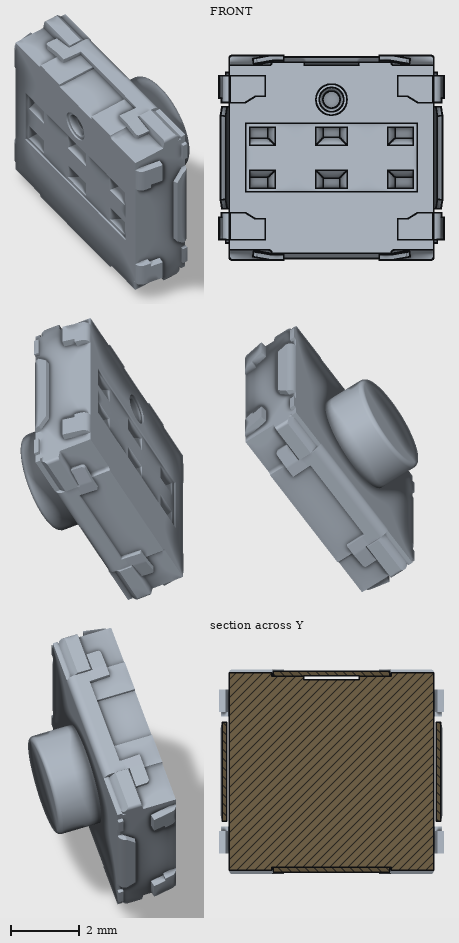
import cadquery as cq
import math

HOUSING_SIZE = 6.0
HOUSING_HALF_X = HOUSING_SIZE / 2
HOUSING_HALF_Z = HOUSING_SIZE / 2
STEP = 0.1
MIDDLE_HALF_Z = HOUSING_HALF_Z - 2 * STEP
CORNER_HALF_Z = MIDDLE_HALF_Z - STEP
COVER_BACK_Y = 1.8
BUTTON_TOP_Y = 3.1
SMALL_RADIUS = 0.1
LEAN = 10.0

COVER_SHEET = 0.15
COVER_FRONT_Y = COVER_BACK_Y - COVER_SHEET
FLANGE_HALF_X = 1.715
FLANGE_FRONT_Y = 1.2
FLANGE_OUTER_Z = MIDDLE_HALF_Z + COVER_SHEET
FLANGE_BEND = SMALL_RADIUS + COVER_SHEET
TAB_REACH_X = 3.1
TAB_Z = (1.9, 2.5)
WING_HALF_Z = 1.5
WING_BEND_INNER = 0.08
WING_BEND_X = 2.975
WING_LENGTH = 0.285
WING_CHAMFER = 0.285
LEG_INNER_X = 1.39
LEG_TIP_Y = 0.57
LEG_BEND_Y = 1.1
LEG_TILT = 5.0
HOOK_BEND_INNER = 0.15
HOOK_TIP_X = 2.305
HOOK_BACK_Y = 0.99

MIDDLE_HALF_X = 1.74
BLOCK_FOOT_Y = 1.0
BLOCK_RIM_Y = 1.055
BLOCK_CHAMFER = 0.2
BLOCK_BACK_RADIUS = 0.12
CHANNEL_HALF_X = 0.8
RECESS_HALF_X = 2.51
RECESS_HALF_Z = 1.0
RECESS_DEPTH = 0.05
WINDOW_DEPTH = 0.34
WINDOW_Z = (0.36, 0.89)
SIDE_WINDOW_FLOOR_Z = 0.575
CENTRE_WINDOW_FLOOR_Z = 0.6
WINDOW_SLOPE_X = 0.22
SIDE_WINDOW_X = (1.645, 2.395)
CENTRE_WINDOW_HALF_X = 0.455
DIMPLE_Z = 1.7
DIMPLE_RING_RADIUS = 0.455
DIMPLE_RIM_RADIUS = 0.355
DIMPLE_FLOOR_RADIUS = 0.25
DIMPLE_DEPTH = 0.2

TERMINAL_SHEET = 0.2
TERMINAL_BEND_INNER = 0.03
TERMINAL_BEND_X = 2.97
ARM_LENGTH = 0.59
ARM_STEP_Y = 0.4
ARM_TIP_INNER_Z = 1.74
PAD_END_X = 1.95
PAD_OUTER_Z = 2.4
PAD_INNER_Z = 1.61
PAD_NECK_Z = 1.795
PAD_SLOPE_X = (2.23, 2.53)

BUTTON_RADIUS = 1.5
BUTTON_FILLET = 0.125


def block(x_range, y_range, z_range):
    """Axis-aligned block between the given limits."""
    low, high = zip(x_range, y_range, z_range)
    size = [b - a for a, b in zip(low, high)]
    return cq.Workplane("XY").box(*size, centered=False).translate(low)


def both_sides(body):
    """The body and its mirror image across X = 0."""
    return [body, body.mirror("YZ")]


def four_corners(body):
    """The body mirrored into all four X/Z quadrants."""
    return [copy for half in (body, body.mirror("XY")) for copy in both_sides(half)]


def disc(radius, y_start, length, z=0.0):
    """Cylinder along +Y."""
    return cq.Workplane("XZ", origin=(0, y_start, z)).circle(radius).extrude(-length)


def bent_strip(bend_x, inner_radius, sheet, arm_length, half_width):
    """Bend plus leaning arm along +Y, from a flat strip whose outer face is Y = 0."""
    turn = math.radians(90 - LEAN)
    outer_radius = inner_radius + sheet

    def on_bend(radius, angle):
        return (bend_x + radius * math.sin(angle), outer_radius - radius * math.cos(angle))

    def along_arm(point):
        return (point[0] + arm_length * math.cos(turn), point[1] + arm_length * math.sin(turn))

    outer_end = on_bend(outer_radius, turn)
    inner_end = on_bend(inner_radius, turn)
    return (
        cq.Workplane("XY", origin=(0, 0, -half_width))
        .moveTo(bend_x, 0)
        .threePointArc(on_bend(outer_radius, turn / 2), outer_end)
        .lineTo(*along_arm(outer_end))
        .lineTo(*along_arm(inner_end))
        .lineTo(*inner_end)
        .threePointArc(on_bend(inner_radius, turn / 2), (bend_x, sheet))
        .close()
        .extrude(2 * half_width)
    )


def make_terminal():
    """Terminal of the +X +Z corner: flush pad, bend and stepped arm."""
    pad = (
        cq.Workplane("XZ")
        .polyline([
            (TERMINAL_BEND_X, PAD_OUTER_Z),
            (PAD_END_X, PAD_OUTER_Z),
            (PAD_END_X, PAD_NECK_Z),
            (PAD_SLOPE_X[0], PAD_NECK_Z),
            (PAD_SLOPE_X[1], PAD_INNER_Z),
            (TERMINAL_BEND_X, PAD_INNER_Z),
        ])
        .close()
        .extrude(-TERMINAL_SHEET)
    )
    half_width = (PAD_OUTER_Z - PAD_INNER_Z) / 2
    arm = bent_strip(
        TERMINAL_BEND_X, TERMINAL_BEND_INNER, TERMINAL_SHEET, ARM_LENGTH, half_width)
    arm = arm.translate((0, 0, PAD_INNER_Z + half_width))
    notch = block(
        (TERMINAL_BEND_X, TERMINAL_BEND_X + 2 * TERMINAL_SHEET),
        (ARM_STEP_Y, ARM_STEP_Y + ARM_LENGTH),
        (PAD_INNER_Z, ARM_TIP_INNER_Z),
    )
    return pad.union(arm).cut(notch)


def make_corner_block():
    """Raised block of the +X +Z corner, chamfered at the back and rounded outside."""
    body = (
        cq.Workplane("YZ", origin=(MIDDLE_HALF_X, 0, 0))
        .polyline([
            (BLOCK_FOOT_Y, CORNER_HALF_Z),
            (BLOCK_RIM_Y, HOUSING_HALF_Z),
            (COVER_FRONT_Y - BLOCK_CHAMFER, HOUSING_HALF_Z),
            (COVER_FRONT_Y, HOUSING_HALF_Z - BLOCK_CHAMFER),
            (COVER_FRONT_Y, CORNER_HALF_Z),
        ])
        .close()
        .extrude(HOUSING_HALF_X - MIDDLE_HALF_X)
    )
    body = body.edges("|Y and >X and >Z").fillet(SMALL_RADIUS)
    return body.edges("|Z and >X and >Y").fillet(BLOCK_BACK_RADIUS)


def make_step_cove():
    """Concave quarter round between the middle band and the lower corner wall."""
    return (
        cq.Workplane("XZ")
        .moveTo(MIDDLE_HALF_X, CORNER_HALF_Z)
        .lineTo(MIDDLE_HALF_X + STEP, CORNER_HALF_Z)
        .radiusArc((MIDDLE_HALF_X, MIDDLE_HALF_Z), STEP)
        .close()
        .extrude(-COVER_FRONT_Y)
    )


def make_window(mouth_x, floor_x, floor_z):
    """Upper window: walls slope on the -Z side and wherever floor_x is inside mouth_x."""
    def corners(x_range, z_range):
        (left, right), (bottom, top) = x_range, z_range
        return [(left, bottom), (right, bottom), (right, top), (left, top)]

    return (
        cq.Workplane("XZ", origin=(0, RECESS_DEPTH, 0))
        .polyline(corners(mouth_x, WINDOW_Z))
        .close()
        .workplane(offset=-WINDOW_DEPTH)
        .polyline(corners(floor_x, (floor_z, WINDOW_Z[1])))
        .close()
        .loft(ruled=True)
    )


def make_windows():
    """Two rows of three windows, mirrored across Z = 0."""
    inner_x, outer_x = SIDE_WINDOW_X
    side = make_window(
        SIDE_WINDOW_X, (inner_x + WINDOW_SLOPE_X, outer_x), SIDE_WINDOW_FLOOR_Z)
    floor_half_x = CENTRE_WINDOW_HALF_X - WINDOW_SLOPE_X
    centre = make_window(
        (-CENTRE_WINDOW_HALF_X, CENTRE_WINDOW_HALF_X),
        (-floor_half_x, floor_half_x),
        CENTRE_WINDOW_FLOOR_Z,
    )
    return four_corners(side) + [centre, centre.mirror("XY")]


def make_dimple():
    """Shallow ring recess with a conical hole in its floor."""
    ring = disc(DIMPLE_RING_RADIUS, 0, RECESS_DEPTH, DIMPLE_Z)
    cone = (
        cq.Workplane("XZ", origin=(0, RECESS_DEPTH, DIMPLE_Z))
        .circle(DIMPLE_RIM_RADIUS)
        .workplane(offset=-DIMPLE_DEPTH)
        .circle(DIMPLE_FLOOR_RADIUS)
        .loft()
    )
    return ring.union(cone)


def make_housing(mating_bodies):
    """Moulded housing, recessed where the sheet parts bend into its edges."""
    side_x = (-HOUSING_HALF_X, HOUSING_HALF_X)
    depth_y = (0, COVER_FRONT_Y)
    body = block(side_x, depth_y, (-CORNER_HALF_Z, CORNER_HALF_Z))
    middle = block((-MIDDLE_HALF_X, MIDDLE_HALF_X), depth_y, (-MIDDLE_HALF_Z, MIDDLE_HALF_Z))
    body = body.union(middle.edges("|X and >Y").fillet(SMALL_RADIUS))
    for detail in four_corners(make_corner_block()) + four_corners(make_step_cove()):
        body = body.union(detail)

    channel = block((-CHANNEL_HALF_X, CHANNEL_HALF_X), depth_y, (CORNER_HALF_Z, MIDDLE_HALF_Z))
    recess = block(
        (-RECESS_HALF_X, RECESS_HALF_X), (0, RECESS_DEPTH), (-RECESS_HALF_Z, RECESS_HALF_Z))
    for opening in [channel, recess, make_dimple()] + make_windows() + mating_bodies:
        body = body.cut(opening)
    return body


def make_flange():
    """Flange bent forward from the +Z edge of the plate."""
    bend_z = FLANGE_OUTER_Z - FLANGE_BEND
    bend_y = COVER_BACK_Y - FLANGE_BEND
    diagonal = math.sqrt(0.5)
    return (
        cq.Workplane("YZ", origin=(-FLANGE_HALF_X, 0, 0))
        .moveTo(COVER_BACK_Y, bend_z)
        .threePointArc(
            (bend_y + FLANGE_BEND * diagonal, bend_z + FLANGE_BEND * diagonal),
            (bend_y, FLANGE_OUTER_Z))
        .lineTo(FLANGE_FRONT_Y, FLANGE_OUTER_Z)
        .lineTo(FLANGE_FRONT_Y, MIDDLE_HALF_Z)
        .lineTo(bend_y, MIDDLE_HALF_Z)
        .threePointArc(
            (bend_y + SMALL_RADIUS * diagonal, bend_z + SMALL_RADIUS * diagonal),
            (COVER_FRONT_Y, bend_z))
        .close()
        .extrude(2 * FLANGE_HALF_X)
    )


def make_leg():
    """Leg of the +X +Z corner with its side hook, opened outward a little."""
    leg_z = (MIDDLE_HALF_Z, FLANGE_OUTER_Z)
    neck = block((LEG_INNER_X, FLANGE_HALF_X), (LEG_BEND_Y, FLANGE_FRONT_Y), leg_z)
    leg = block((LEG_INNER_X, FLANGE_HALF_X), (LEG_TIP_Y, LEG_BEND_Y), leg_z)

    lean = math.radians(LEAN)
    bend_outer = HOOK_BEND_INNER + COVER_SHEET
    bend_z = FLANGE_OUTER_Z - bend_outer

    def on_bend(radius, angle):
        return (FLANGE_HALF_X + radius * math.sin(angle), bend_z + radius * math.cos(angle))

    outer_end = on_bend(bend_outer, lean)
    inner_end = on_bend(HOOK_BEND_INNER, lean)
    run = HOOK_TIP_X - outer_end[0]
    drop = run * math.tan(lean)
    hook = (
        cq.Workplane("XZ", origin=(0, LEG_TIP_Y, 0))
        .moveTo(FLANGE_HALF_X, FLANGE_OUTER_Z)
        .threePointArc(on_bend(bend_outer, lean / 2), outer_end)
        .lineTo(HOOK_TIP_X, outer_end[1] - drop)
        .lineTo(inner_end[0] + run, inner_end[1] - drop)
        .lineTo(*inner_end)
        .threePointArc(on_bend(HOOK_BEND_INNER, lean / 2), (FLANGE_HALF_X, MIDDLE_HALF_Z))
        .close()
        .extrude(LEG_TIP_Y - HOOK_BACK_Y)
    )
    hook = hook.faces(">X").edges("<Y").fillet(SMALL_RADIUS)
    pivot = (0, LEG_BEND_Y, MIDDLE_HALF_Z)
    pivot_end = (1, LEG_BEND_Y, MIDDLE_HALF_Z)
    return neck.union(leg.union(hook).rotate(pivot, pivot_end, -LEG_TILT))


def make_wing():
    """Wing bent forward from the +X edge of the plate, with chamfered ends."""
    wing = bent_strip(
        WING_BEND_X, WING_BEND_INNER, COVER_SHEET, WING_LENGTH, WING_HALF_Z)
    wing = wing.mirror("XZ").translate((0, COVER_BACK_Y, 0))
    tip_y = wing.val().BoundingBox().ymin
    for sign in (1, -1):
        trim = (
            cq.Workplane("YZ")
            .polyline([
                (tip_y, sign * WING_HALF_Z),
                (tip_y, sign * (WING_HALF_Z - WING_CHAMFER)),
                (tip_y + WING_CHAMFER, sign * WING_HALF_Z),
            ])
            .close()
            .extrude(2 * HOUSING_HALF_X)
        )
        wing = wing.cut(trim)
    return wing


def make_cover():
    sheet_y = (COVER_FRONT_Y, COVER_BACK_Y)
    plate = block(
        (-HOUSING_HALF_X, HOUSING_HALF_X), sheet_y, (-CORNER_HALF_Z, CORNER_HALF_Z))
    lip = block((FLANGE_HALF_X, HOUSING_HALF_X), sheet_y, (CORNER_HALF_Z, MIDDLE_HALF_Z))
    tab = block((HOUSING_HALF_X, TAB_REACH_X), sheet_y, TAB_Z)
    flange = make_flange()
    pieces = [flange, flange.mirror("XY")] + both_sides(make_wing())
    pieces += four_corners(lip) + four_corners(tab) + four_corners(make_leg())
    for piece in pieces:
        plate = plate.union(piece)
    return plate.cut(disc(BUTTON_RADIUS, COVER_FRONT_Y, COVER_SHEET))


def make_button():
    """Round button through the cover, standing on the housing."""
    body = disc(BUTTON_RADIUS, COVER_FRONT_Y, BUTTON_TOP_Y - COVER_FRONT_Y)
    return body.faces(">Y").edges().fillet(BUTTON_FILLET)


terminals = four_corners(make_terminal())
cover = make_cover()
housing = make_housing(terminals + [cover])
button = make_button()

result = cq.Compound.makeCompound(
    [housing.val(), cover.val(), button.val()] + [terminal.val() for terminal in terminals])